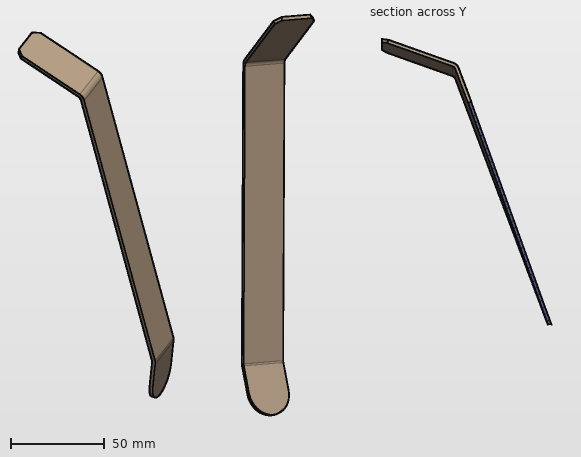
import cadquery as cq
import math

width = 25.0
thickness = 2.0
inner_bend_radius = 3.0
outer_bend_radius = inner_bend_radius + thickness
corner_chamfer = 3.7

foot_length = 28.7
arm_length = 163.0
tip_length = 42.7

arm_angle = 20.2
tip_angle = 70
lean_angle = 12.2


def advance(point, length, angle):
    """Move from a profile point along a leg direction."""
    radians = math.radians(angle)
    return (point[0] - length * math.sin(radians), point[1] + length * math.cos(radians))


def inner_corner(outer_corner, angle_before, angle_after):
    """Point opposite an outer bend corner, on the mitre between two legs."""
    half_bend = math.radians((angle_after - angle_before) / 2)
    mitre_length = thickness / math.cos(half_bend)
    return advance(outer_corner, mitre_length, (angle_before + angle_after) / 2 + 90)


foot_end = (0, 0)
lower_bend = advance(foot_end, foot_length, 0)
upper_bend = advance(lower_bend, arm_length, arm_angle)
tip_end = advance(upper_bend, tip_length, tip_angle)
lower_bend_inner = inner_corner(lower_bend, 0, arm_angle)
upper_bend_inner = inner_corner(upper_bend, arm_angle, tip_angle)
profile = [
    foot_end,
    lower_bend,
    upper_bend,
    tip_end,
    advance(tip_end, thickness, tip_angle + 90),
    upper_bend_inner,
    lower_bend_inner,
    advance(foot_end, thickness, 90),
]
strip = cq.Workplane("XZ").polyline(profile).close().extrude(width / 2, both=True)


def round_bend(body, corner, radius):
    """Fillet the edge across the strip at a profile corner."""
    edge_point = (corner[0], 0, corner[1])
    return body.edges(cq.selectors.NearestToPointSelector(edge_point)).fillet(radius)


for outer, inner in ((lower_bend, lower_bend_inner), (upper_bend, upper_bend_inner)):
    strip = round_bend(strip, outer, outer_bend_radius)
    strip = round_bend(strip, inner, inner_bend_radius)

tip_middle = advance(tip_end, thickness / 2, tip_angle + 90)
for side in (-width / 2, width / 2):
    corner_point = (tip_middle[0], side, tip_middle[1])
    strip = strip.edges(cq.selectors.NearestToPointSelector(corner_point)).chamfer(corner_chamfer)

strip_height = tip_end[1]
foot_outline = (
    cq.Workplane("YZ")
    .moveTo(-width / 2, strip_height)
    .lineTo(-width / 2, width / 2)
    .threePointArc((0, 0), (width / 2, width / 2))
    .lineTo(width / 2, strip_height)
    .close()
    .extrude(tip_end[0])
)
strip = strip.intersect(foot_outline)

foot_centre = (0, 0, width / 2)
result = strip.rotate(foot_centre, (1, 0, width / 2), -lean_angle)